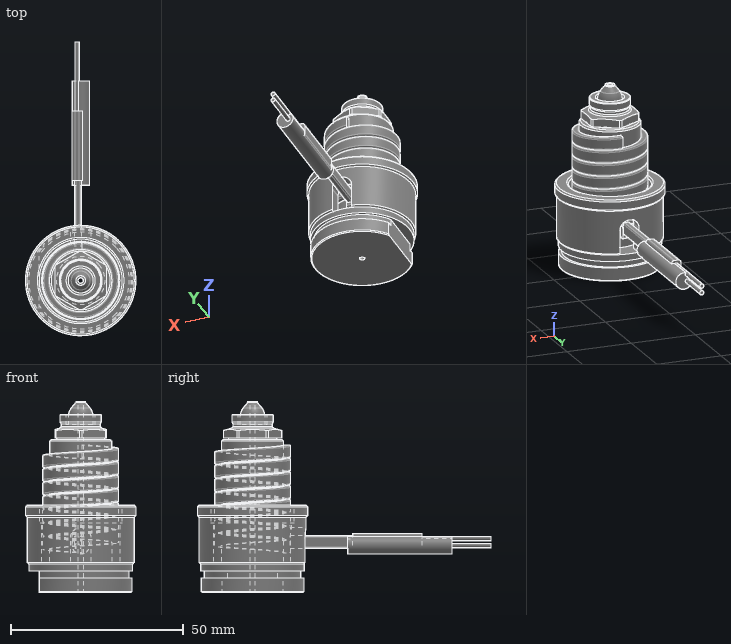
import cadquery as cq
import math

FOOT_RADIUS = 14.9
FOOT_FLAT_X = -12.0
FOOT_CHAMFER = 0.3
FOOT_TOP = 4.15
GROOVE_RADIUS = 14.0
RING_BOTTOM = 6.15
RING_RADIUS = 15.0
SLEEVE_BOTTOM = 8.15
SLEEVE_RADIUS = 15.5
FLANGE_RADIUS = 16.0
FLANGE_HEIGHT = 3.5
FLANGE_TOP = 25.2
FLANGE_BOTTOM = FLANGE_TOP - FLANGE_HEIGHT
EDGE_CHAMFER = 0.5
BORE_RADIUS = 12.0
LINER_RADIUS = 11.3
LINER_TOP = 20.0

SLOT_WIDTH = 6.0
SLOT_TOP = 18.7

CORE_RADIUS = 9.0
CORE_TOP = 44.2

UNDERCUT_RADIUS = 7.0
HEX_BOTTOM = 44.55
HEX_ACROSS_FLATS = 15.0
HEX_CORNER_RADIUS = 8.45
HEX_RIM = 46.8
HEX_TOP = 47.45
HEX_TOP_RADIUS = 6.2
NECK_RADIUS = 5.7
NECK_BOTTOM = 47.9
COLLAR_RADIUS = 6.0
COLLAR_BOTTOM = 49.2
COLLAR_UNDERSIDE_DROP = 0.5
COLLAR_TOP = 51.4
COLLAR_CHAMFER = 0.2
RECESS_RADIUS = 4.2
RECESS_FLOOR = 48.5

TIP_TOP = 55.2
TIP_TOP_RADIUS = 1.4
TIP_LAND = 0.3
TIP_SHOULDER_RADIUS = 2.75
TIP_SHOULDER_Z = 53.3
TIP_BASE_RADIUS = 3.6
TIP_BASE_Z = 50.8
CHANNEL_RADIUS = 0.75

STRIP_THICKNESS = 2.0
STRIP_HEIGHT = 3.65
STRIP_CORNER = 0.4
COIL_PITCH = 3.95
COIL_TURNS = 7
COIL_END_ANGLE = 88.0
COIL_END_TOP = 42.65
COIL_EMBED = 0.1

TAIL_X, TAIL_Z = -0.78, 14.53
TAIL_END = 30.0
BLOCK_X, BLOCK_Z = -1.05, 14.72
BLOCK_WIDTH, BLOCK_HEIGHT = 3.0, 4.6
BLOCK_START, BLOCK_END = 28.9, 49.0
BLOCK_CORNER = 0.9
TUBE_X, TUBE_Z = 0.02, 13.6
TUBE_RADIUS = 2.53
TUBE_START, TUBE_END = 27.5, 57.7
WIRE_X = -1.0
WIRE_HEIGHTS = (15.55, 13.5)
WIRE_RADIUS = 0.65
WIRE_END = 69.0


def cylinder(radius, bottom, top):
    return cq.Workplane("XY").workplane(offset=bottom).circle(radius).extrude(top - bottom)


def turned(points):
    """Solid of revolution about Z from (radius, z) corners."""
    return cq.Workplane("XZ").polyline(points).close().revolve(360, (0, 0, 0), (0, 1, 0))


def strip_along_y(x, z, width, height, corner, start, end):
    """Straight bar along Y with rounded long edges."""
    bar = cq.Workplane("XY").box(width, end - start, height).edges("|Y").fillet(corner)
    return bar.translate((x, (start + end) / 2, z))


def rod_along_y(x, z, radius, start, end):
    return cq.Workplane("XZ", origin=(x, start, z)).circle(radius).extrude(start - end)


def make_foot():
    foot = cylinder(FOOT_RADIUS, 0, FOOT_TOP).faces("<Z").chamfer(FOOT_CHAMFER)
    foot = foot.union(cylinder(GROOVE_RADIUS, FOOT_TOP, RING_BOTTOM))
    flat_side = cq.Workplane("XY").box(
        FOOT_RADIUS, 2 * FOOT_RADIUS, RING_BOTTOM, centered=(False, True, False)
    )
    foot = foot.cut(flat_side.translate((FOOT_FLAT_X - FOOT_RADIUS, 0, 0)))
    return foot.union(cylinder(RING_RADIUS, RING_BOTTOM, SLEEVE_BOTTOM))


def make_sleeve():
    sleeve = turned([
        (LINER_RADIUS, SLEEVE_BOTTOM),
        (SLEEVE_RADIUS - EDGE_CHAMFER, SLEEVE_BOTTOM),
        (SLEEVE_RADIUS, SLEEVE_BOTTOM + EDGE_CHAMFER),
        (SLEEVE_RADIUS, FLANGE_BOTTOM),
        (FLANGE_RADIUS, FLANGE_BOTTOM + EDGE_CHAMFER),
        (FLANGE_RADIUS, FLANGE_TOP - EDGE_CHAMFER),
        (FLANGE_RADIUS - EDGE_CHAMFER, FLANGE_TOP),
        (BORE_RADIUS + EDGE_CHAMFER, FLANGE_TOP),
        (BORE_RADIUS, FLANGE_TOP - EDGE_CHAMFER),
        (BORE_RADIUS, LINER_TOP),
        (LINER_RADIUS, LINER_TOP),
    ])
    half_width = SLOT_WIDTH / 2
    arc_z = SLOT_TOP - half_width
    slot = (
        cq.Workplane("XZ")
        .moveTo(-half_width, SLEEVE_BOTTOM)
        .lineTo(half_width, SLEEVE_BOTTOM)
        .lineTo(half_width, arc_z)
        .threePointArc((0, SLOT_TOP), (-half_width, arc_z))
        .close()
        .extrude(-FLANGE_RADIUS)
    )
    return sleeve.cut(slot)


def make_core():
    core = cylinder(CORE_RADIUS, SLEEVE_BOTTOM, CORE_TOP).faces(">Z").chamfer(EDGE_CHAMFER)
    return core.union(cylinder(UNDERCUT_RADIUS, CORE_TOP, HEX_BOTTOM))


def make_hexagon():
    corner_diameter = HEX_ACROSS_FLATS / math.cos(math.pi / 6)
    prism = (
        cq.Workplane("XY")
        .workplane(offset=HEX_BOTTOM)
        .polygon(6, corner_diameter)
        .extrude(HEX_TOP - HEX_BOTTOM)
        .rotate((0, 0, 0), (0, 0, 1), 30)
    )
    envelope = turned([
        (0, HEX_BOTTOM),
        (HEX_CORNER_RADIUS, HEX_BOTTOM),
        (HEX_CORNER_RADIUS, HEX_RIM),
        (HEX_TOP_RADIUS, HEX_TOP),
        (0, HEX_TOP),
    ])
    return prism.intersect(envelope)


def make_collar():
    return turned([
        (0, HEX_TOP),
        (HEX_TOP_RADIUS, HEX_TOP),
        (NECK_RADIUS, NECK_BOTTOM),
        (NECK_RADIUS, COLLAR_BOTTOM - COLLAR_UNDERSIDE_DROP),
        (COLLAR_RADIUS, COLLAR_BOTTOM),
        (COLLAR_RADIUS, COLLAR_TOP - COLLAR_CHAMFER),
        (COLLAR_RADIUS - COLLAR_CHAMFER, COLLAR_TOP),
        (RECESS_RADIUS, COLLAR_TOP),
        (RECESS_RADIUS, RECESS_FLOOR),
        (0, RECESS_FLOOR),
    ])


def make_tip():
    inset = TIP_BASE_RADIUS - TIP_SHOULDER_RADIUS
    rise = TIP_SHOULDER_Z - TIP_BASE_Z
    arc_radius = (inset**2 + rise**2) / (2 * inset)
    half_angle = math.asin(rise / arc_radius) / 2
    arc_middle = (
        TIP_BASE_RADIUS - arc_radius * (1 - math.cos(half_angle)),
        TIP_BASE_Z + arc_radius * math.sin(half_angle),
    )
    return (
        cq.Workplane("XZ")
        .moveTo(0, RECESS_FLOOR)
        .lineTo(TIP_BASE_RADIUS, RECESS_FLOOR)
        .lineTo(TIP_BASE_RADIUS, TIP_BASE_Z)
        .threePointArc(arc_middle, (TIP_SHOULDER_RADIUS, TIP_SHOULDER_Z))
        .lineTo(TIP_TOP_RADIUS, TIP_TOP - TIP_LAND)
        .lineTo(TIP_TOP_RADIUS, TIP_TOP)
        .lineTo(0, TIP_TOP)
        .close()
        .revolve(360, (0, 0, 0), (0, 1, 0))
    )


def make_coil():
    mean_radius = CORE_RADIUS + STRIP_THICKNESS / 2 - COIL_EMBED / 2
    rise = COIL_PITCH * COIL_TURNS
    path = cq.Workplane(cq.Wire.makeHelix(COIL_PITCH, rise, mean_radius))
    section = cq.Sketch().rect(STRIP_THICKNESS + COIL_EMBED, STRIP_HEIGHT).vertices().fillet(STRIP_CORNER)
    coil = (
        cq.Workplane("XZ", origin=(mean_radius, 0, 0))
        .placeSketch(section)
        .sweep(path, isFrenet=True)
    )
    start_z = COIL_END_TOP - STRIP_HEIGHT / 2 - rise
    return coil.rotate((0, 0, 0), (0, 0, 1), COIL_END_ANGLE).translate((0, 0, start_z))


def make_leads():
    tail_start = CORE_RADIUS + STRIP_THICKNESS / 2
    leads = strip_along_y(
        TAIL_X, TAIL_Z, STRIP_THICKNESS, STRIP_HEIGHT, STRIP_CORNER, tail_start, TAIL_END
    )
    leads = leads.union(strip_along_y(
        BLOCK_X, BLOCK_Z, BLOCK_WIDTH, BLOCK_HEIGHT, BLOCK_CORNER, BLOCK_START, BLOCK_END
    ))
    leads = leads.union(rod_along_y(TUBE_X, TUBE_Z, TUBE_RADIUS, TUBE_START, TUBE_END))
    for wire_z in WIRE_HEIGHTS:
        leads = leads.union(rod_along_y(WIRE_X, wire_z, WIRE_RADIUS, TAIL_END, WIRE_END))
    return leads


body = make_foot().union(make_sleeve()).union(make_core())
body = body.union(make_hexagon()).union(make_collar()).union(make_tip())
body = body.cut(cylinder(CHANNEL_RADIUS, 0, TIP_TOP))
result = body.union(make_coil()).union(make_leads())